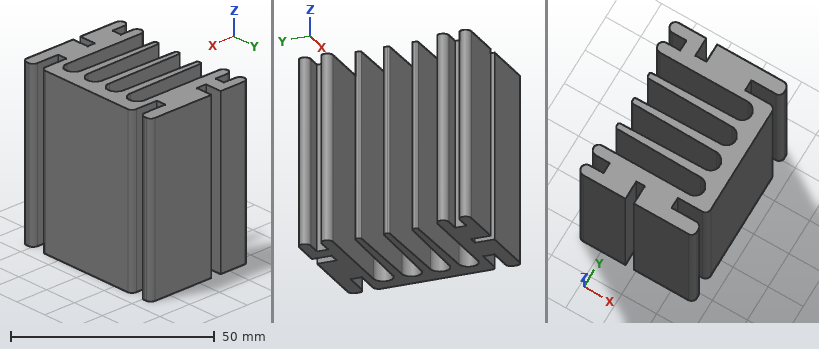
import cadquery as cq

width = 33.0
depth = 46.0
height = 50.0
corner_radius = 1.5

wall_thickness = 9.0
prong_thickness = 2 * corner_radius
front_slot_length = 5.5
back_prong_thickness = 3.75
back_slot_width = 3.0
back_slot_length = 8.5

groove_depth = 5.25
upper_groove_start = 9.4
upper_groove_width = 3.1
lower_groove_start = 13.55
lower_groove_width = 2.4

fin_count = 3
fin_pitch = 7.6
fin_setback = 2.0
fin_tip_thickness = 1.6
fin_tip_radius = 0.5
root_center_from_front = 26.5

front = -width / 2
back = width / 2
side = depth / 2
channel_half = side - wall_thickness
root_x = front + root_center_from_front
outer_gap_y = fin_count * fin_pitch / 2
root_radius = channel_half - outer_gap_y
fin_root_thickness = fin_pitch - 2 * root_radius
gap_count = fin_count + 1


def box(x_min, x_max, y_min, y_max):
    """Full-height block covering the given X and Y ranges."""
    return (
        cq.Workplane("XY")
        .moveTo((x_min + x_max) / 2, (y_min + y_max) / 2)
        .rect(x_max - x_min, y_max - y_min)
        .extrude(height)
    )


def end_slot(sign, x_min, x_max, inset, slot_width):
    """Slot in one side wall, a given inset from the wall's outer face."""
    outer = sign * (side - inset)
    inner = outer - sign * slot_width
    return box(x_min, x_max, min(outer, inner), max(outer, inner))


def rounded_prong(sign, inset):
    """Front prong of a side wall, ending in a full half-round."""
    center_y = sign * (side - inset - corner_radius)
    nose_x = front + corner_radius
    nose = cq.Workplane("XY").moveTo(nose_x, center_y).circle(corner_radius).extrude(height)
    web_x = front + front_slot_length
    return nose.union(box(nose_x, web_x, center_y - corner_radius, center_y + corner_radius))


def body_blank():
    """Plain block behind the front prongs, with its back corners and back slots."""
    blank = box(front + front_slot_length, back, -side, side)
    for sign in (1, -1):
        slot = end_slot(sign, back - back_slot_length, back, back_prong_thickness, back_slot_width)
        blank = blank.cut(slot)
    return blank.edges("|Z and >X").fillet(corner_radius)


def channel():
    """Open channel with one round-bottomed gap beside each fin."""
    cavity = box(front, root_x, -channel_half, channel_half)
    for index in range(gap_count):
        gap_y = -outer_gap_y + index * fin_pitch
        cavity = cavity.union(
            cq.Workplane("XY").moveTo(root_x, gap_y).circle(root_radius).extrude(height)
        )
    return cavity


def fin(center_y):
    """Tapered fin with a softened tip, standing forward from the back plate."""
    half_root = fin_root_thickness / 2
    half_tip = fin_tip_thickness / 2
    tip_x = front + fin_setback
    return (
        cq.Workplane("XY")
        .polyline([
            (root_x, center_y - half_root),
            (root_x, center_y + half_root),
            (tip_x, center_y + half_tip),
            (tip_x, center_y - half_tip),
        ])
        .close()
        .extrude(height)
        .edges("|Z and <X")
        .fillet(fin_tip_radius)
    )


def groove(sign, start, groove_width):
    """Groove cut into the outer face of one side wall."""
    return end_slot(sign, front + start, front + start + groove_width, 0, groove_depth)


result = body_blank().cut(channel())
for wall_sign in (1, -1):
    for prong_inset in (0, wall_thickness - prong_thickness):
        result = result.union(rounded_prong(wall_sign, prong_inset))
for fin_index in range(fin_count):
    result = result.union(fin((fin_index - (fin_count - 1) / 2) * fin_pitch))
result = result.cut(groove(1, upper_groove_start, upper_groove_width))
result = result.cut(groove(-1, lower_groove_start, lower_groove_width))
result = result.clean()